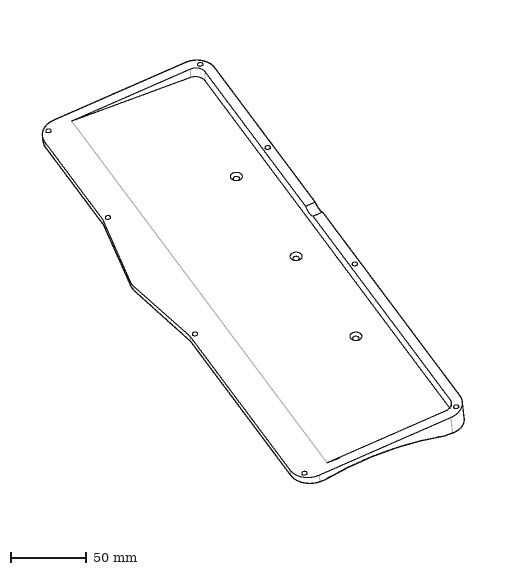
import cadquery as cq
import math

width = 379.0
depth = 139.5
height = 16.3
tilt = 5.0
slope = math.tan(math.radians(tilt))

corner_radius = 14.5
tip_x = -30.0
tip_half_width = 62.0
tip_length = (depth - height * slope) / math.cos(math.radians(tilt))
tip_drop = 11.0
straight_length = tip_length - tip_drop
tip_radius = 12.0
tip_angle = math.atan2(tip_drop, tip_half_width)
sharp_tip_length = tip_length + tip_radius * (1 / math.cos(tip_angle) - 1)

rim = 7.2
pocket_radius = 7.2
pocket_end = 104.5
back_top_y = -height * slope
floor_z = height - (pocket_end + back_top_y) * slope

rim_hole_diameter = 3.5
corner_hole_inset = 7.0
back_hole_inset = 3.8
front_hole_inset = 3.8
floor_hole_diameter = 4.0
countersink_diameter = 8.0
countersink_half_angle = 45
countersink_depth = (
    (countersink_diameter - floor_hole_diameter) / 2 / math.tan(math.radians(countersink_half_angle))
)
floor_hole_spacing = 85.3
floor_hole_y = -32.2

notch_x = -26.0
notch_width = 10.5
notch_depth = 2.0
notch_reach = rim + 0.8

scoop_length = 89.5
scoop_height = 5.5
scoop_center_y = -65.5

top_plane = cq.Plane(
    origin=(0, back_top_y, height),
    xDir=(1, 0, 0),
    normal=(0, -math.sin(math.radians(tilt)), math.cos(math.radians(tilt))),
)
clearance = 2 * height


def make_body():
    """Outline extruded square to the tilted top and cut off flat at z = 0."""
    plate = (
        cq.Workplane("XY")
        .center(0, -straight_length / 2)
        .rect(width, straight_length)
        .extrude(-clearance)
        .edges("|Z")
        .fillet(corner_radius)
    )
    tip = (
        cq.Workplane("XY")
        .moveTo(tip_x - tip_half_width, -straight_length)
        .lineTo(tip_x, -sharp_tip_length)
        .lineTo(tip_x + tip_half_width, -straight_length)
        .close()
        .extrude(-clearance)
        .edges("|Z and <Y")
        .fillet(tip_radius)
    )
    slanted = cq.Workplane(plate.union(tip).val().moved(cq.Location(top_plane)))
    above_ground = cq.Workplane().box(2 * width, 3 * depth, clearance, centered=(True, True, False))
    return slanted.intersect(above_ground)


def make_pocket():
    """Upright-walled pocket, rounded in its two back corners."""
    back_y = back_top_y - rim
    length = back_y + pocket_end
    return (
        cq.Workplane("XY", origin=(0, back_y - length / 2, floor_z))
        .rect(width - 2 * rim, length)
        .extrude(height)
        .edges("|Z and >Y")
        .fillet(pocket_radius)
    )


def make_rim_holes():
    """Screw holes square to the tilted top: four corners, two at the back and two at the front."""
    corner_x = width / 2 - corner_hole_inset
    middle_xs = (tip_x - tip_half_width, tip_x + tip_half_width)
    points = []
    for x in (-corner_x, corner_x):
        points.append((x, -corner_hole_inset))
        points.append((x, corner_hole_inset - straight_length))
    for x in middle_xs:
        points.append((x, -back_hole_inset))
        points.append((x, front_hole_inset - straight_length))
    return (
        cq.Workplane(top_plane)
        .pushPoints(points)
        .circle(rim_hole_diameter / 2)
        .extrude(-clearance)
    )


def make_notch():
    """Shallow round-bottomed groove that crosses the back wall."""
    half = notch_width / 2
    groove_plane = cq.Plane(top_plane.origin, cq.Vector(1, 0, 0), top_plane.yDir.multiply(-1))
    return (
        cq.Workplane(groove_plane)
        .moveTo(notch_x - half, 0)
        .threePointArc((notch_x, -notch_depth), (notch_x + half, 0))
        .close()
        .extrude(notch_reach, both=True)
    )


def make_scoop(side):
    """Spindle-shaped hollow: an arc spun about its chord along the bottom side edge."""
    half = scoop_length / 2
    return (
        cq.Workplane("YZ", origin=(side * width / 2, scoop_center_y, 0))
        .moveTo(-half, 0)
        .threePointArc((0, scoop_height), (half, 0))
        .close()
        .revolve(360, (-half, 0), (half, 0))
    )


def make_floor_holes():
    """Row of countersunk through holes in the pocket floor."""
    hole_points = [(x, floor_hole_y) for x in (-floor_hole_spacing, 0, floor_hole_spacing)]
    return (
        cq.Workplane("XY", origin=(0, 0, floor_z))
        .pushPoints(hole_points)
        .circle(floor_hole_diameter / 2)
        .extrude(-floor_z)
        .pushPoints(hole_points)
        .circle(countersink_diameter / 2)
        .extrude(-countersink_depth, taper=countersink_half_angle)
    )



result = make_body().cut(make_pocket()).cut(make_rim_holes()).cut(make_notch()).cut(make_floor_holes())
for side in (-1, 1):
    result = result.cut(make_scoop(side))